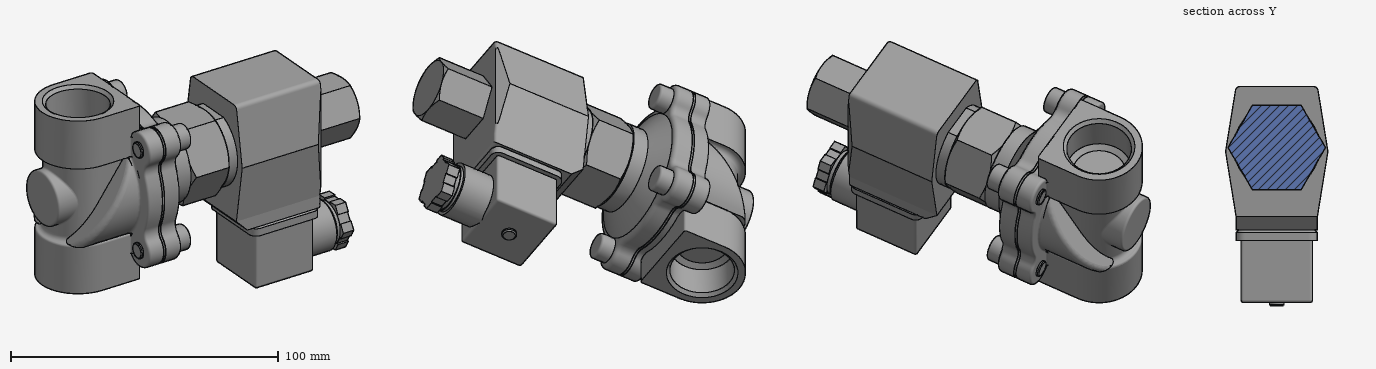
import cadquery as cq
import math


PORT_RADIUS = 16.25
PORT_HALF_HEIGHT = 36.5
PORT_INNER_HEIGHT = 16.25
PORT_BACK_Y = 17.3
PORT_CORNER_FILLET = 0.9
PORT_FOOT_FILLET = 0.5
COLLAR_FILLET = 0.9
NECK_RADIUS = 13.25
NECK_FILLET = 2.0
BORE_RADIUS = 12.1
BORE_DEPTH = 13.3
BORE_LEAD_IN = 1.3
BORE_FLOOR_RADIUS = 9.8
BORE_CONE_LENGTH = 1.3

CHAMBER_RADIUS = 22.5
CHAMBER_ROOT_FILLET = 1.0
SLOPE_Y_AT_AXIS = 0.65
SLOPE_RUN_PER_RISE = 0.74
SLOPE_FILLET = 2.0

BOSS_RADIUS = 11.0
BOSS_RIM_FILLET = 0.9
BOSS_ROOT_FILLET = 0.8

DISC_RADIUS = 27.4
EAR_ANGLES = (45, 135, 225, 315)
EAR_RADIUS = 7.0
SCREW_SPACING = 42.5
EAR_PITCH_RADIUS = SCREW_SPACING / math.sqrt(2)
EAR_BLEND_RADIUS = 5.0
LOWER_FLANGE_Y = 13.2
DIAPHRAGM_Y = 19.8
UPPER_FLANGE_Y = 20.7
FLANGE_TOP_Y = 28.1
DIAPHRAGM_INSET = 0.3
LOWER_FLANGE_FILLET = 1.0
UPPER_FLANGE_FILLET = 1.9

SCREW_HEAD_RADIUS = 5.0
SCREW_HEAD_TOP_Y = 33.65
SCREW_HEAD_FILLET = 1.0
SCREW_TIP_RADIUS = 3.15
SCREW_TIP_LENGTH = 1.0
SCREW_TIP_CHAMFER = 0.4

BONNET_BASE_RADIUS = 25.0
BONNET_RADIUS = 16.7
BONNET_CONE_TOP_Y = 33.7
BONNET_TOP_Y = 39.75
STEM_NUT_FLATS = 31.7
STEM_NUT_TOP_Y = 57.4
RING_RADIUS = 16.1
RING_FLATS = 29.2
NUT_CHAMFER_ANGLE = 30.0

COIL_FRONT_Y = 61.2
COIL_BACK_Y = 99.5
COIL_TOP_Z = 22.9
COIL_RIDGE_Z = -1.5
COIL_BOTTOM_Z = -30.8
COIL_HALF_WIDTH = 15.25
COIL_RIDGE_HALF_WIDTH = 19.2
COIL_SIDE_CHAMFER = COIL_RIDGE_HALF_WIDTH - COIL_HALF_WIDTH
COIL_FOOT_CHAMFER = 5.0
COIL_TOP_FILLET = 1.9
COIL_BACK_FILLET = 1.2

END_NUT_FLATS = 22.2
END_NUT_BACK_Y = 119.65

GASKET_LENGTH = 30.4
GASKET_WIDTH = 30.4
GASKET_BOTTOM_Z = -34.9
GASKET_CORNER_RADIUS = 3.2
GASKET_RIM_CHAMFER = 1.0
PLUG_CENTER_Y = COIL_BACK_Y - GASKET_LENGTH / 2
PLUG_LENGTH = 26.2
PLUG_WIDTH = 26.8
PLUG_BOTTOM_Z = -58.1
PLUG_FILLET = 1.0
PLUG_SCREW_RADIUS = 2.8
PLUG_SCREW_BOTTOM_Z = -59.3
PLUG_SCREW_CHAMFER = 0.5

GLAND_RADIUS = 10.45
GLAND_Z = PLUG_BOTTOM_Z + GLAND_RADIUS
GLAND_END_Y = 109.8
GLAND_STEP_RADIUS = 9.2
GLAND_STEP_END_Y = 110.9
GLAND_THREAD_RADIUS = 8.7
GLAND_NUT_Y = 112.5
GLAND_NUT_END_Y = 117.2
GLAND_NUT_FLATS = 18.9
GLAND_NUT_GROOVE_DEPTH = 0.6


def cylinder_y(y_start, y_end, radius, x=0.0, z=0.0):
    """Cylinder along Y."""
    base = cq.Workplane("XZ", origin=(x, y_start, z)).circle(radius)
    return base.extrude(y_start - y_end)


def hexagon_y(y_start, y_end, flats, z=0.0):
    """Hexagonal prism along Y with two corners on the X direction."""
    corner_diameter = 2 * flats / math.sqrt(3)
    base = cq.Workplane("XZ", origin=(0, y_start, z)).polygon(6, corner_diameter)
    return base.extrude(y_start - y_end)


def revolve_y(points):
    """Solid of revolution about Y from (radius, y) points that close on the axis."""
    return cq.Workplane("XY").polyline(points).close().revolve(360, (0, 0, 0), (0, 1, 0))


def chamfered_nut(y_start, y_end, flats, chamfer_start=True):
    """Hexagonal nut whose corners are turned off by a cone at one or both ends."""
    corner = flats / math.sqrt(3)
    face = flats / 2
    setback = (corner - face) * math.tan(math.radians(NUT_CHAMFER_ANGLE))
    if chamfer_start:
        profile = [(0, y_start), (face, y_start), (corner, y_start + setback)]
    else:
        profile = [(0, y_start), (corner, y_start)]
    profile += [(corner, y_end - setback), (face, y_end), (0, y_end)]
    return hexagon_y(y_start, y_end, flats).intersect(revolve_y(profile))


def u_block(radius, back_y, z_start, z_end):
    """Block along Z: half round towards -Y, flat sides and a flat back at back_y."""
    outline = (
        cq.Workplane("XY", origin=(0, 0, z_start))
        .moveTo(-radius, back_y)
        .lineTo(-radius, 0)
        .threePointArc((0, -radius), (radius, 0))
        .lineTo(radius, back_y)
        .close()
    )
    return outline.extrude(z_end - z_start)


def polar(radius, angle, center=(0.0, 0.0)):
    """Point at a radius and an angle in degrees around a center."""
    turn = math.radians(angle)
    return (center[0] + radius * math.cos(turn), center[1] + radius * math.sin(turn))


def flange_plate(y_start, y_end, inset=0.0):
    """Round plate with four bolt ears, each blended into the disc by two hollow arcs."""
    disc = DISC_RADIUS - inset
    ear = EAR_RADIUS - inset
    blend = EAR_BLEND_RADIUS + inset
    side_blend = disc + blend
    side_ear = EAR_PITCH_RADIUS
    side_touch = ear + blend
    cos_at_disc = (side_blend**2 + side_ear**2 - side_touch**2) / (2 * side_blend * side_ear)
    cos_at_ear = (side_touch**2 + side_ear**2 - side_blend**2) / (2 * side_touch * side_ear)
    spread = math.degrees(math.acos(cos_at_disc))
    ear_turn = math.degrees(math.acos(cos_at_ear))
    blend_half = (180 - spread - ear_turn) / 2

    plate = cq.Workplane("XZ", origin=(0, y_start, 0)).moveTo(*polar(disc, 45 - spread))
    for ear_angle in EAR_ANGLES:
        ear_center = polar(EAR_PITCH_RADIUS, ear_angle)
        blend_in = polar(side_blend, ear_angle - spread)
        blend_out = polar(side_blend, ear_angle + spread)
        mid_in = polar(blend, ear_angle - spread + 180 - blend_half, blend_in)
        mid_out = polar(blend, ear_angle + spread + 180 + blend_half, blend_out)
        ear_first = polar(ear, ear_angle + 180 + ear_turn, ear_center)
        ear_last = polar(ear, ear_angle + 180 - ear_turn, ear_center)
        plate = plate.threePointArc(mid_in, ear_first)
        plate = plate.threePointArc(polar(ear, ear_angle, ear_center), ear_last)
        plate = plate.threePointArc(mid_out, polar(disc, ear_angle + spread))
        plate = plate.threePointArc(polar(disc, ear_angle + 45), polar(disc, ear_angle + 90 - spread))
    return plate.close().extrude(y_start - y_end)


def port_blocks():
    """Two port blocks joined by the rounded neck and carrying the seat boss."""
    upper = u_block(PORT_RADIUS, PORT_BACK_Y, PORT_INNER_HEIGHT, PORT_HALF_HEIGHT)
    lower = u_block(PORT_RADIUS, PORT_BACK_Y, -PORT_HALF_HEIGHT, -PORT_INNER_HEIGHT)
    upper = upper.edges("|Z and >Y").fillet(PORT_CORNER_FILLET)
    lower = lower.edges("|Z and >Y").fillet(PORT_CORNER_FILLET)
    rim_point = (0, -PORT_RADIUS, -PORT_INNER_HEIGHT)
    lower = lower.edges(cq.selectors.NearestToPointSelector(rim_point)).fillet(COLLAR_FILLET)
    neck = u_block(NECK_RADIUS, LOWER_FLANGE_Y, -PORT_INNER_HEIGHT, PORT_INNER_HEIGHT)
    body = upper.union(lower).union(neck)
    for end in (-PORT_INNER_HEIGHT, PORT_INNER_HEIGHT):
        root = cq.selectors.NearestToPointSelector((0, 0, end))
        body = body.edges(root).fillet(NECK_FILLET)

    boss = cylinder_y(-PORT_RADIUS, 0, BOSS_RADIUS).faces("<Y").edges().fillet(BOSS_RIM_FILLET)
    body = body.union(boss)
    root_y = -math.sqrt(NECK_RADIUS**2 - BOSS_RADIUS**2)
    root = cq.selectors.NearestToPointSelector((0, root_y, 0))
    return body.edges(root).fillet(BOSS_ROOT_FILLET)


def port_bore():
    """Bore of the upper port: lead-in, bore and conical floor."""
    floor_z = PORT_HALF_HEIGHT - BORE_DEPTH
    profile = [
        (0, PORT_HALF_HEIGHT),
        (BORE_RADIUS + BORE_LEAD_IN, PORT_HALF_HEIGHT),
        (BORE_RADIUS, PORT_HALF_HEIGHT - BORE_LEAD_IN),
        (BORE_RADIUS, floor_z),
        (BORE_FLOOR_RADIUS, floor_z - BORE_CONE_LENGTH),
        (0, floor_z - BORE_CONE_LENGTH),
    ]
    return cq.Workplane("XZ").polyline(profile).close().revolve(360, (0, 0, 0), (0, 1, 0))


def chamber():
    """Round diaphragm chamber with a sloping end, between the two port blocks."""
    reach = CHAMBER_RADIUS + CHAMBER_ROOT_FILLET
    y_at_top = SLOPE_Y_AT_AXIS + SLOPE_RUN_PER_RISE * reach
    y_at_bottom = SLOPE_Y_AT_AXIS - SLOPE_RUN_PER_RISE * reach
    keep = (
        cq.Workplane("YZ")
        .polyline([(y_at_top, reach), (FLANGE_TOP_Y, reach), (FLANGE_TOP_Y, -reach), (y_at_bottom, -reach)])
        .close()
        .extrude(reach, both=True)
    )
    body = cylinder_y(y_at_bottom, FLANGE_TOP_Y, CHAMBER_RADIUS).intersect(keep)
    slope_edge = cq.selectors.NearestToPointSelector((0, SLOPE_Y_AT_AXIS, 0))
    body = body.edges(slope_edge).fillet(SLOPE_FILLET)
    slab = cq.Workplane("XY").box(4 * reach, 4 * reach, 2 * PORT_INNER_HEIGHT)
    return body.intersect(slab).union(chamber_root().intersect(slab))


def chamber_root():
    """Hollow fillet ring where the chamber meets the flange."""
    outer = CHAMBER_RADIUS + CHAMBER_ROOT_FILLET
    start_y = LOWER_FLANGE_Y - CHAMBER_ROOT_FILLET
    corner_gap = CHAMBER_ROOT_FILLET * (1 - math.sqrt(0.5))
    return (
        cq.Workplane("XY")
        .moveTo(0, start_y)
        .lineTo(CHAMBER_RADIUS, start_y)
        .threePointArc(
            (CHAMBER_RADIUS + corner_gap, LOWER_FLANGE_Y - corner_gap), (outer, LOWER_FLANGE_Y)
        )
        .lineTo(0, LOWER_FLANGE_Y)
        .close()
        .revolve(360, (0, 0, 0), (0, 1, 0))
    )


def flanges():
    """Lower flange, recessed diaphragm and upper flange."""
    lower = flange_plate(LOWER_FLANGE_Y, DIAPHRAGM_Y).faces("<Y").edges().fillet(LOWER_FLANGE_FILLET)
    diaphragm = flange_plate(DIAPHRAGM_Y, UPPER_FLANGE_Y, DIAPHRAGM_INSET)
    upper = flange_plate(UPPER_FLANGE_Y, FLANGE_TOP_Y).faces(">Y").edges().fillet(UPPER_FLANGE_FILLET)
    return lower.union(diaphragm).union(upper)


def port_foot_fillet():
    """Hollow fillet strip between the upper port block and the flange on the +X side."""
    radius = PORT_FOOT_FILLET
    corner_gap = radius * (1 - math.sqrt(0.5))
    ear_rim_radius = EAR_RADIUS - LOWER_FLANGE_FILLET
    ear_offset = SCREW_SPACING / 2 - PORT_RADIUS
    strip_end_z = SCREW_SPACING / 2 + math.sqrt(ear_rim_radius**2 - ear_offset**2)
    return (
        cq.Workplane("XY", origin=(PORT_RADIUS, LOWER_FLANGE_Y, PORT_INNER_HEIGHT))
        .lineTo(0, -radius)
        .threePointArc((corner_gap, -corner_gap), (radius, 0))
        .close()
        .extrude(strip_end_z - PORT_INNER_HEIGHT)
    )


def flange_screw(angle):
    """Screw through one ear: a rounded head above and a tip standing out below."""
    x, z = polar(EAR_PITCH_RADIUS, angle)
    head = cylinder_y(UPPER_FLANGE_Y, SCREW_HEAD_TOP_Y, SCREW_HEAD_RADIUS, x, z)
    head = head.faces(">Y").edges().fillet(SCREW_HEAD_FILLET)
    tip = cylinder_y(LOWER_FLANGE_Y - SCREW_TIP_LENGTH, UPPER_FLANGE_Y, SCREW_TIP_RADIUS, x, z)
    tip = tip.faces("<Y").edges().chamfer(SCREW_TIP_CHAMFER)
    return head.union(tip)


def stem():
    """Conical bonnet, stem nut and the ring with two flats under the coil."""
    bonnet = revolve_y([
        (0, UPPER_FLANGE_Y),
        (BONNET_BASE_RADIUS, UPPER_FLANGE_Y),
        (BONNET_BASE_RADIUS, FLANGE_TOP_Y),
        (BONNET_RADIUS, BONNET_CONE_TOP_Y),
        (BONNET_RADIUS, BONNET_TOP_Y),
        (0, BONNET_TOP_Y),
    ])
    nut = chamfered_nut(BONNET_TOP_Y, STEM_NUT_TOP_Y, STEM_NUT_FLATS)
    ring_length = COIL_FRONT_Y - STEM_NUT_TOP_Y
    ring_middle = (COIL_FRONT_Y + STEM_NUT_TOP_Y) / 2
    flats = cq.Workplane("XY").box(2 * RING_RADIUS, ring_length, RING_FLATS)
    ring = cylinder_y(STEM_NUT_TOP_Y, COIL_FRONT_Y, RING_RADIUS)
    ring = ring.intersect(flats.translate((0, ring_middle, 0)))
    return bonnet.union(nut).union(ring)


def coil_housing():
    """Coil housing with ridged sides, chamfered rear corners and a chamfered foot."""
    shoulder_z = 2 * COIL_RIDGE_Z - COIL_TOP_Z
    right_side = [
        (COIL_HALF_WIDTH, COIL_TOP_Z),
        (COIL_RIDGE_HALF_WIDTH, COIL_RIDGE_Z),
        (COIL_HALF_WIDTH, shoulder_z),
        (COIL_HALF_WIDTH, COIL_BOTTOM_Z),
    ]
    left_side = [(-x, z) for x, z in reversed(right_side)]
    housing = (
        cq.Workplane("XZ", origin=(0, COIL_FRONT_Y, 0))
        .polyline(right_side + left_side)
        .close()
        .extrude(COIL_FRONT_Y - COIL_BACK_Y)
    )
    for side in (-1, 1):
        top_edge = cq.selectors.NearestToPointSelector(
            (side * COIL_HALF_WIDTH, (COIL_FRONT_Y + COIL_BACK_Y) / 2, COIL_TOP_Z)
        )
        housing = housing.edges(top_edge).fillet(COIL_TOP_FILLET)
    housing = housing.edges("<Z and <Y").chamfer(COIL_FOOT_CHAMFER)
    housing = housing.faces(">Y").edges().fillet(COIL_BACK_FILLET)

    for side in (-1, 1):
        corner = (
            cq.Workplane("XY", origin=(0, 0, COIL_BOTTOM_Z))
            .moveTo(side * COIL_HALF_WIDTH, COIL_BACK_Y)
            .lineTo(side * COIL_RIDGE_HALF_WIDTH, COIL_BACK_Y)
            .lineTo(side * COIL_RIDGE_HALF_WIDTH, COIL_BACK_Y - COIL_SIDE_CHAMFER)
            .close()
            .extrude(COIL_TOP_Z - COIL_BOTTOM_Z)
        )
        housing = housing.cut(corner)
    return housing


def plug():
    """Plug connector under the coil: gasket, body and retaining screw."""
    gasket = (
        cq.Workplane("XY", origin=(0, PLUG_CENTER_Y, GASKET_BOTTOM_Z))
        .rect(GASKET_WIDTH, GASKET_LENGTH)
        .extrude(COIL_BOTTOM_Z - GASKET_BOTTOM_Z)
        .edges("|Z")
        .fillet(GASKET_CORNER_RADIUS)
        .faces(">Z")
        .edges()
        .chamfer(GASKET_RIM_CHAMFER)
    )
    body = (
        cq.Workplane("XY", origin=(0, PLUG_CENTER_Y, PLUG_BOTTOM_Z))
        .rect(PLUG_WIDTH, PLUG_LENGTH)
        .extrude(GASKET_BOTTOM_Z - PLUG_BOTTOM_Z)
        .edges("|Z or <Z")
        .fillet(PLUG_FILLET)
    )
    screw = (
        cq.Workplane("XY", origin=(0, PLUG_CENTER_Y, PLUG_SCREW_BOTTOM_Z))
        .circle(PLUG_SCREW_RADIUS)
        .extrude(GASKET_BOTTOM_Z - PLUG_SCREW_BOTTOM_Z)
        .faces("<Z")
        .edges()
        .chamfer(PLUG_SCREW_CHAMFER)
    )
    return gasket.union(body).union(screw)


def gland():
    """Cable gland with a hexagonal nut grooved along the middle third of each flat."""
    barrel = cylinder_y(PLUG_CENTER_Y, GLAND_END_Y, GLAND_RADIUS, z=GLAND_Z)
    step = cylinder_y(GLAND_END_Y, GLAND_STEP_END_Y, GLAND_STEP_RADIUS, z=GLAND_Z)
    thread = cylinder_y(GLAND_STEP_END_Y, GLAND_NUT_Y, GLAND_THREAD_RADIUS, z=GLAND_Z)
    nut = hexagon_y(GLAND_NUT_Y, GLAND_NUT_END_Y, GLAND_NUT_FLATS, GLAND_Z)
    groove_width = GLAND_NUT_FLATS / math.sqrt(3) / 3
    nut_middle = (GLAND_NUT_Y + GLAND_NUT_END_Y) / 2
    cutter = cq.Workplane("XY").box(
        groove_width, GLAND_NUT_END_Y - GLAND_NUT_Y, 2 * GLAND_NUT_GROOVE_DEPTH
    )
    cutter = cutter.translate((0, nut_middle, GLAND_Z + GLAND_NUT_FLATS / 2))
    for flat in range(6):
        nut = nut.cut(cutter.rotate((0, 0, GLAND_Z), (0, 1, GLAND_Z), 60 * flat))
    return barrel.union(step).union(thread).union(nut)


valve = port_blocks().union(chamber()).union(flanges())
foot_fillet = port_foot_fillet()
for foot in (foot_fillet, foot_fillet.mirror("XY")):
    valve = valve.union(foot).union(foot.mirror("YZ"))
upper_bore = port_bore()
valve = valve.cut(upper_bore).cut(upper_bore.mirror("XY"))
for screw_angle in EAR_ANGLES:
    valve = valve.union(flange_screw(screw_angle))
valve = valve.union(stem())
valve = valve.union(coil_housing())
valve = valve.union(chamfered_nut(COIL_BACK_Y, END_NUT_BACK_Y, END_NUT_FLATS, chamfer_start=False))
result = valve.union(plug()).union(gland())